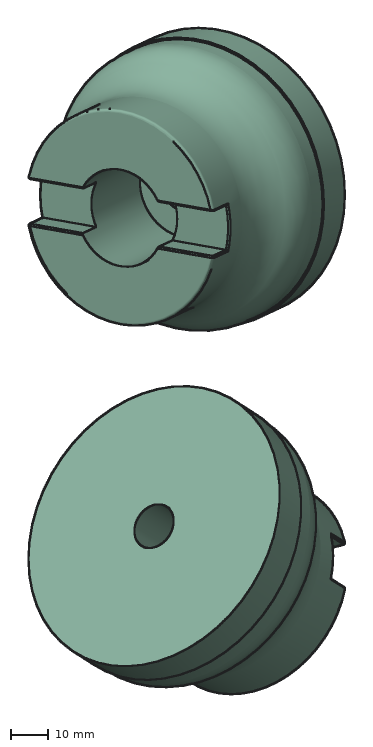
import cadquery as cq
import math

total_length = 50.0
flange_radius = 40.0
flange_length = 10.7
shoulder_radius = 39.5
shoulder_end = 16.0
neck_radius = 30.0
convex_radius = 10.0
concave_radius = 16.0
nose_fillet = 0.8

bore_radius = 13.5
bore_depth = 32.0
through_radius = 6.2

slot_width = 12.5
slot_depth = 7.2
slot_chamfer = 0.5


def arc_offset(radius, angle):
    """Axial and radial travel of an arc that starts parallel to the axis."""
    return radius * math.sin(angle), radius * (1 - math.cos(angle))


def make_body():
    """Revolve the outer profile, whose two shoulder arcs are tangent to each other."""
    radial_drop = shoulder_radius - neck_radius
    sweep = math.acos(1 - radial_drop / (convex_radius + concave_radius))
    convex_mid_y, convex_mid_r = arc_offset(convex_radius, sweep / 2)
    convex_y, convex_r = arc_offset(convex_radius, sweep)
    concave_mid_y, concave_mid_r = arc_offset(concave_radius, sweep / 2)
    concave_y, _ = arc_offset(concave_radius, sweep)
    neck_start = shoulder_end + convex_y + concave_y

    profile = (
        cq.Workplane("XY")
        .lineTo(flange_radius, 0)
        .lineTo(flange_radius, -flange_length)
        .lineTo(shoulder_radius, -flange_length)
        .lineTo(shoulder_radius, -shoulder_end)
        .threePointArc(
            (shoulder_radius - convex_mid_r, -shoulder_end - convex_mid_y),
            (shoulder_radius - convex_r, -shoulder_end - convex_y),
        )
        .threePointArc(
            (neck_radius + concave_mid_r, -neck_start + concave_mid_y),
            (neck_radius, -neck_start),
        )
        .lineTo(neck_radius, -total_length)
        .lineTo(0, -total_length)
        .close()
    )
    body = profile.revolve(360, (0, 0, 0), (0, 1, 0))
    return body.faces("<Y").edges().fillet(nose_fillet)


def cut_slot(body):
    """Cut the cross slot along X and chamfer its mouth and its outer ends."""
    slot = cq.Workplane("XY").box(2 * flange_radius, 2 * slot_depth, slot_width)
    body = body.cut(slot.translate((0, -total_length, 0)))

    mouth_edges = body.faces("<Y").edges("|X")
    floor_y = slot_depth - total_length
    reach = neck_radius + nose_fillet
    margin = 0.1
    end_edges = body.edges(
        cq.selectors.BoxSelector(
            (-reach, -total_length - margin, -slot_width / 2 - margin),
            (reach, floor_y + margin, slot_width / 2 + margin),
        )
    ).edges("not(|X)")
    return mouth_edges.add(end_edges).chamfer(slot_chamfer)


def cut_bores(body):
    """Cut the blind nose bore and the smaller through hole."""
    face = cq.Workplane("XZ", origin=(0, -total_length, 0))
    bore = face.circle(bore_radius).extrude(-bore_depth)
    through_hole = face.circle(through_radius).extrude(-total_length)
    return body.cut(bore).cut(through_hole)


result = cut_bores(cut_slot(make_body()))